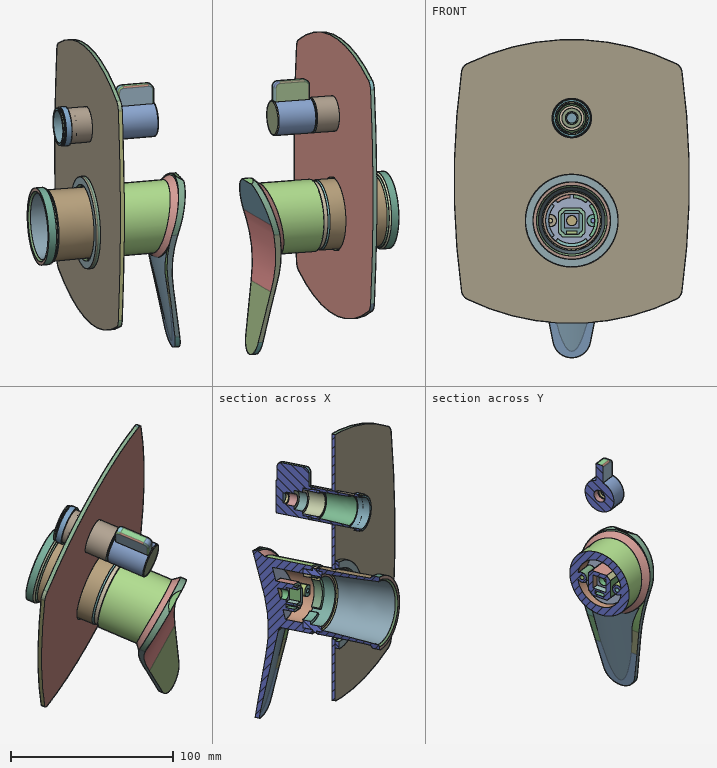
import cadquery as cq
import math


PLATE_THICK = 2.5
PLATE_CENTRE_Z = 24.1
PLATE_HALF_W = 145.0 / 2
PLATE_HALF_H = 175.0 / 2
PLATE_CORNER_X = 67.5
PLATE_CORNER_Z = 71.0
PLATE_CORNER_R = 6.9
SEAL_R = 28.6
SEAL_THICK = 2.7
SEAL_EDGE_AXIAL = 1.2
SEAL_EDGE_RADIAL = 0.2
SEAL_BORE_R = 23.7
PLATE_MIXER_HOLE_R = 22.7

SLEEVE_BACK = -31.8
SLEEVE_FRONT = 13.7
SLEEVE_R = 21.8
SLEEVE_REAR_R = 22.2
SLEEVE_FRONT_CHAMFER_AXIAL = 1.2
SLEEVE_FRONT_CHAMFER_RADIAL = 0.4
COLLAR_R = 24.0
COLLAR_LEN = 6.0
COLLAR_BEVEL_AXIAL = 1.2
COLLAR_BEVEL_RADIAL = 0.8
COLLAR_FOOT = 0.5
COLLAR_FOOT_LEN = 1.0
SLEEVE_MOUTH_R = 21.8
SLEEVE_MOUTH_CHAMFER = 1.2
SLEEVE_BORE_END_R = 17.6
SLEEVE_BORE_CHAMFER = 0.8

HUB_BACK = 16.7
BUSH_BACK = 9.8
BUSH_FRONT = 23.5
BUSH_SPIGOT_R = 19.6
BUSH_NECK_R = 21.2
BUSH_BORE_R = 16.0
TAB_INNER_R = 14.1
TAB_BACK = 17.6
TAB_ARCS = [(52, 86), (94, 128), (140, 220), (232, 308), (-40, 40)]

HUB_R = 22.4
CAP_R = 25.9
LEVER_END_R = 11.8
LEVER_BOTTOM_Z = -84.5
CAP_TILT = 16.0
RIM_CENTRE_Y = 48.6
FLARE_RUN = 5.5
FLARE_BASE_R = 21.0
FLARE_RIM_R = 26.5
RIM_BAND = 1.8
RIB_INSET = 1.0

FRONT_TOP = (59.2, 24.3)
FRONT_BEND_START = (52.4, 1.4)
FRONT_BEND_MIDDLE = (48.2, -22.5)
FRONT_BEND_END = (50.0, -42.2)
FRONT_TIP = (57.7, -85.0)
REAR_TIP = (54.3, -85.0)
REAR_KNEE = (49.5, -55.0)
REAR_BEND_END = (46.0, -36.0)
REAR_BEND_MIDDLE = (44.7, -20.5)
REAR_BEND_START = (48.2, 0.8)
REAR_TOP = (55.3, 26.0)

RIB_ROOT_FRONT = (47.0, -17.6)
RIB_ROOT_REAR = (41.5, -17.6)
RIB_TIP_FRONT = (55.9, -82.8)
RIB_BEND_FRONT = (48.2, -39.2)
RIB_TOP = (40.5, -24.3)
RIB_TIP = (54.1, -82.8)
RIB_CROWN_R = 39.2

FLOOR_CENTRE_Y = 40.2
SOCKET_ROOT = 4.0
POST_ROOT = 2.0
POST_HOLE_FLOOR = 2.0
SOCKET_BACK = 27.5
SOCKET_HALF_W = 8.2
SOCKET_TOP_Z = 7.8
SOCKET_BOTTOM_Z = -10.2
SOCKET_CORNER_CHAMFER = 2.7
SOCKET_STEP = 1.5
SOCKET_STEP_LEN = 2.0
SQUARE_HALF = 4.5
SQUARE_DEPTH = 7.8
STEM_HOLE_R = 3.1
SLOT_HALF_W = 3.3
SLOT_TOP_Z = -6.3
SLOT_BOTTOM_Z = -8.2
POST_X = 13.1
POST_R = 3.7
POST_HOLE_R = 1.4

DIVERTER_Z = 63.1
DIV_R = 11.0
DIV_SLEEVE_BACK = -18.8
DIV_SLEEVE_FRONT = 16.9
DIV_END_RING_R = 11.5
DIV_END_RING_LEN = 1.0
DIV_GROOVE_R = 11.2
DIV_GROOVE_LEN = 0.8
DIV_COLLAR_R = 12.2
DIV_COLLAR_LEN = 3.7
DIV_MOUTH_R = 10.2
DIV_MOUTH_DEPTH = 8.8
DIV_BORE_R = 9.5
DIV_BORE_END_R = 8.6
KNOB_BACK = 17.5
KNOB_FRONT = 42.5
KNOB_EDGE = 0.5
DIV_BUSH_BACK = 11.8
DIV_BUSH_FRONT = 23.5
DIV_BUSH_R = 9.2
DIV_BUSH_BORE_R = 7.6
KNOB_HOLE_R = 6.0
KNOB_HOLE_END = 29.5
KNOB_STEM_R = 4.0
KNOB_STEM_END = 35.3
KNOB_STEM_TIP_R = 3.1
KNOB_STEM_TIP_END = 37.3
GRIP_BACK = 18.8
GRIP_FRONT = 42.0
GRIP_TOP = 23.0
GRIP_THICK = 5.7
GRIP_CORNER_R = 3.5
GRIP_EDGE_R = 1.0


def revolved(profile, axis_z=0.0):
    """Turn (radius, y) points about the Y-parallel axis at height axis_z."""
    turned = cq.Workplane("XY").polyline(profile).close().revolve(360, (0, 0), (0, 1))
    return turned.translate((0, 0, axis_z))


def rod(radius, back, front, x=0.0, z=0.0):
    """Cylinder along Y between two Y positions."""
    return cq.Workplane("XZ", origin=(x, back, z)).circle(radius).extrude(back - front)


def block(x0, x1, y0, y1, z0, z1):
    """Box between opposite corners."""
    return cq.Workplane("XY").box(x1 - x0, y1 - y0, z1 - z0, centered=False).translate((x0, y0, z0))


def make_plate():
    outline = (
        cq.Workplane("XZ", origin=(0, 0, PLATE_CENTRE_Z))
        .moveTo(-PLATE_CORNER_X, PLATE_CORNER_Z)
        .threePointArc((0, PLATE_HALF_H), (PLATE_CORNER_X, PLATE_CORNER_Z))
        .threePointArc((PLATE_HALF_W, 0), (PLATE_CORNER_X, -PLATE_CORNER_Z))
        .threePointArc((0, -PLATE_HALF_H), (-PLATE_CORNER_X, -PLATE_CORNER_Z))
        .threePointArc((-PLATE_HALF_W, 0), (-PLATE_CORNER_X, PLATE_CORNER_Z))
        .close()
    )
    plate = outline.extrude(-PLATE_THICK).edges("|Y").fillet(PLATE_CORNER_R)
    plate = plate.cut(rod(PLATE_MIXER_HOLE_R, 0, PLATE_THICK))
    return plate.cut(rod(DIV_R, 0, PLATE_THICK, z=DIVERTER_Z))


def make_seal():
    return revolved([
        (SEAL_BORE_R, 0),
        (SEAL_R, 0),
        (SEAL_R, SEAL_EDGE_AXIAL - SEAL_THICK),
        (SEAL_R - SEAL_EDGE_RADIAL, -SEAL_THICK),
        (SEAL_BORE_R, -SEAL_THICK),
    ])


def make_sleeve():
    collar_front = SLEEVE_BACK + COLLAR_LEN
    mouth_r = SLEEVE_MOUTH_R - SLEEVE_MOUTH_CHAMFER
    return revolved([
        (SLEEVE_MOUTH_R, SLEEVE_BACK),
        (COLLAR_R, SLEEVE_BACK),
        (COLLAR_R, collar_front - COLLAR_BEVEL_AXIAL),
        (COLLAR_R - COLLAR_BEVEL_RADIAL, collar_front),
        (SLEEVE_REAR_R + COLLAR_FOOT, collar_front),
        (SLEEVE_REAR_R, collar_front + COLLAR_FOOT_LEN),
        (SLEEVE_R, SLEEVE_FRONT - SLEEVE_FRONT_CHAMFER_AXIAL),
        (SLEEVE_R - SLEEVE_FRONT_CHAMFER_RADIAL, SLEEVE_FRONT),
        (BUSH_SPIGOT_R, SLEEVE_FRONT),
        (BUSH_SPIGOT_R, BUSH_BACK),
        (SLEEVE_BORE_END_R, BUSH_BACK),
        (SLEEVE_BORE_END_R + SLEEVE_BORE_CHAMFER, BUSH_BACK - SLEEVE_BORE_CHAMFER),
        (mouth_r, SLEEVE_BACK + SLEEVE_MOUTH_CHAMFER),
    ])


def tab(start, end):
    """Snap tab along the bush bore between two angles in degrees."""
    def at(radius, angle):
        turn = math.radians(angle)
        return (radius * math.cos(turn), radius * math.sin(turn))

    middle = (start + end) / 2
    root_r = (BUSH_BORE_R + BUSH_SPIGOT_R) / 2
    return (
        cq.Workplane("XZ", origin=(0, TAB_BACK, 0))
        .moveTo(*at(TAB_INNER_R, start))
        .threePointArc(at(TAB_INNER_R, middle), at(TAB_INNER_R, end))
        .lineTo(*at(root_r, end))
        .threePointArc(at(root_r, middle), at(root_r, start))
        .close()
        .extrude(TAB_BACK - BUSH_FRONT)
    )


def make_bush():
    bush = revolved([
        (BUSH_BORE_R, BUSH_BACK),
        (BUSH_SPIGOT_R, BUSH_BACK),
        (BUSH_SPIGOT_R, SLEEVE_FRONT),
        (BUSH_NECK_R, SLEEVE_FRONT),
        (BUSH_NECK_R, HUB_BACK),
        (BUSH_SPIGOT_R, HUB_BACK),
        (BUSH_SPIGOT_R, BUSH_FRONT),
        (BUSH_BORE_R, BUSH_FRONT),
    ])
    for start, end in TAB_ARCS:
        bush = bush.union(tab(start, end))
    return bush


def lever_prism(inset):
    """Cap circle and lever end joined by tangent lines, drawn inset and extruded along Y."""
    cap_r = CAP_R - inset
    end_r = LEVER_END_R - inset
    end_z = LEVER_BOTTOM_Z + LEVER_END_R
    lean = math.asin((CAP_R - LEVER_END_R) / -end_z)
    across = math.cos(lean)
    down = math.sin(lean)
    return (
        cq.Workplane("XZ")
        .moveTo(-cap_r * across, -cap_r * down)
        .threePointArc((0, cap_r), (cap_r * across, -cap_r * down))
        .lineTo(end_r * across, end_z - end_r * down)
        .threePointArc((0, end_z - end_r), (-end_r * across, end_z - end_r * down))
        .close()
        .extrude(-2 * RIM_CENTRE_Y)
    )


def crown_cylinder():
    """Large cylinder that touches the straight lever back along its centre line."""
    rise = cq.Vector(0, RIB_TOP[0] - RIB_TIP[0], RIB_TOP[1] - RIB_TIP[1])
    inward = cq.Vector(0, rise.z, -rise.y).normalized()
    start = cq.Vector(0, *RIB_TIP) + inward * RIB_CROWN_R - rise
    return cq.Workplane(obj=cq.Solid.makeCylinder(RIB_CROWN_R, 3 * rise.Length, start, rise))


def make_blade():
    """Curved cap and lever sheet, with a narrower rib behind the lever."""
    sheet = (
        cq.Workplane("YZ")
        .moveTo(*FRONT_TOP)
        .lineTo(*FRONT_BEND_START)
        .threePointArc(FRONT_BEND_MIDDLE, FRONT_BEND_END)
        .lineTo(*FRONT_TIP)
        .lineTo(*REAR_TIP)
        .lineTo(*REAR_KNEE)
        .lineTo(*REAR_BEND_END)
        .threePointArc(REAR_BEND_MIDDLE, REAR_BEND_START)
        .lineTo(*REAR_TOP)
        .close()
        .extrude(CAP_R, both=True)
    )
    rib = (
        cq.Workplane("YZ")
        .moveTo(*RIB_ROOT_FRONT)
        .lineTo(*RIB_ROOT_REAR)
        .lineTo(*RIB_TOP)
        .lineTo(*RIB_TIP)
        .lineTo(*RIB_TIP_FRONT)
        .lineTo(*RIB_BEND_FRONT)
        .close()
        .extrude(CAP_R, both=True)
    )
    rib = rib.intersect(lever_prism(RIB_INSET)).intersect(crown_cylinder())
    return sheet.intersect(lever_prism(0)).union(rib)


def tilted(solid, centre_y):
    """Stand a solid built along +Z on the cap plane passing through centre_y on the axis."""
    return solid.rotate((0, 0, 0), (1, 0, 0), -90 - CAP_TILT).translate((0, centre_y, 0))


def behind_tilt(solid, centre_y):
    """Keep the part of a solid on the wall side of the cap plane through centre_y."""
    size = 4 * CAP_R
    front_space = cq.Workplane("XY").rect(size, size).extrude(size)
    return solid.cut(tilted(front_space, centre_y))


def make_handle():
    hub = behind_tilt(rod(HUB_R, HUB_BACK, 2 * RIM_CENTRE_Y), RIM_CENTRE_Y)

    cone = cq.Solid.makeCone(FLARE_BASE_R, FLARE_RIM_R, FLARE_RUN, cq.Vector(0, 0, -FLARE_RUN))
    band = cq.Workplane("XY").circle(FLARE_RIM_R).extrude(RIM_BAND)
    flare = tilted(band.union(cq.Workplane(obj=cone)), RIM_CENTRE_Y).intersect(lever_prism(0))
    handle = hub.union(flare).union(make_blade())

    cavity = behind_tilt(rod(BUSH_BORE_R, HUB_BACK, RIM_CENTRE_Y), FLOOR_CENTRE_Y)
    handle = handle.cut(cavity).cut(rod(BUSH_SPIGOT_R, HUB_BACK, BUSH_FRONT))
    handle = handle.union(make_socket())
    for side in (-1, 1):
        post = rod(POST_R, SOCKET_BACK, FLOOR_CENTRE_Y + POST_ROOT, x=side * POST_X)
        post = post.cut(rod(POST_HOLE_R, SOCKET_BACK, FLOOR_CENTRE_Y - POST_HOLE_FLOOR, x=side * POST_X))
        handle = handle.union(post)
    return handle


def socket_block(inset, back):
    """Rectangular stem socket with bevelled corners, running from back into the cap."""
    boss = block(
        inset - SOCKET_HALF_W, SOCKET_HALF_W - inset,
        back, FLOOR_CENTRE_Y + SOCKET_ROOT,
        SOCKET_BOTTOM_Z + inset, SOCKET_TOP_Z - inset,
    )
    return boss.edges("|Y").chamfer(SOCKET_CORNER_CHAMFER)


def make_socket():
    step_y = SOCKET_BACK + SOCKET_STEP_LEN
    square_end = SOCKET_BACK + SQUARE_DEPTH
    boss = socket_block(0, step_y).union(socket_block(SOCKET_STEP, SOCKET_BACK))
    square = block(-SQUARE_HALF, SQUARE_HALF, SOCKET_BACK, square_end, -SQUARE_HALF, SQUARE_HALF)
    slot = block(-SLOT_HALF_W, SLOT_HALF_W, SOCKET_BACK, square_end, SLOT_BOTTOM_Z, SLOT_TOP_Z)
    stem_hole = behind_tilt(rod(STEM_HOLE_R, SOCKET_BACK, RIM_CENTRE_Y), FLOOR_CENTRE_Y)
    return boss.cut(square).cut(slot).cut(stem_hole)


def make_diverter_sleeve():
    ring_front = DIV_SLEEVE_BACK + DIV_END_RING_LEN
    groove_front = ring_front + DIV_GROOVE_LEN
    collar_front = groove_front + DIV_COLLAR_LEN
    mouth_end = DIV_SLEEVE_BACK + DIV_MOUTH_DEPTH
    return revolved([
        (DIV_MOUTH_R, DIV_SLEEVE_BACK),
        (DIV_END_RING_R, DIV_SLEEVE_BACK),
        (DIV_END_RING_R, ring_front),
        (DIV_GROOVE_R, ring_front),
        (DIV_GROOVE_R, groove_front),
        (DIV_COLLAR_R, groove_front),
        (DIV_COLLAR_R, collar_front),
        (DIV_R, collar_front),
        (DIV_R, DIV_SLEEVE_FRONT),
        (DIV_BUSH_R, DIV_SLEEVE_FRONT),
        (DIV_BUSH_R, DIV_BUSH_BACK),
        (DIV_BORE_END_R, DIV_BUSH_BACK),
        (DIV_BORE_R, mouth_end),
        (DIV_MOUTH_R, mouth_end),
    ], DIVERTER_Z)


def make_diverter_bush():
    return revolved([
        (DIV_BUSH_BORE_R, DIV_BUSH_BACK),
        (DIV_BUSH_R, DIV_BUSH_BACK),
        (DIV_BUSH_R, DIV_BUSH_FRONT),
        (DIV_BUSH_BORE_R, DIV_BUSH_FRONT),
    ], DIVERTER_Z)


def make_knob():
    body = rod(DIV_R, KNOB_BACK, KNOB_FRONT).faces("<Y or >Y").chamfer(KNOB_EDGE)
    grip = block(-GRIP_THICK / 2, GRIP_THICK / 2, GRIP_BACK, GRIP_FRONT, 0, GRIP_TOP)
    grip = grip.edges("|X and >Z").fillet(GRIP_CORNER_R)
    grip = grip.faces("<X or >X").edges("not <Z").fillet(GRIP_EDGE_R)
    knob = body.union(grip)
    knob = knob.cut(rod(DIV_BUSH_R, KNOB_BACK, DIV_BUSH_FRONT))
    knob = knob.cut(rod(KNOB_HOLE_R, KNOB_BACK, KNOB_HOLE_END))
    knob = knob.cut(rod(KNOB_STEM_R, KNOB_BACK, KNOB_STEM_END))
    knob = knob.cut(rod(KNOB_STEM_TIP_R, KNOB_BACK, KNOB_STEM_TIP_END))
    return knob.translate((0, 0, DIVERTER_Z))


plate = make_plate()
seal = make_seal()
sleeve = make_sleeve()
bush = make_bush()
handle = make_handle()
diverter_sleeve = make_diverter_sleeve()
diverter_bush = make_diverter_bush()
knob = make_knob()

result = cq.Compound.makeCompound([
    plate.val(),
    seal.val(),
    sleeve.val(),
    bush.val(),
    handle.val(),
    diverter_sleeve.val(),
    diverter_bush.val(),
    knob.val(),
])